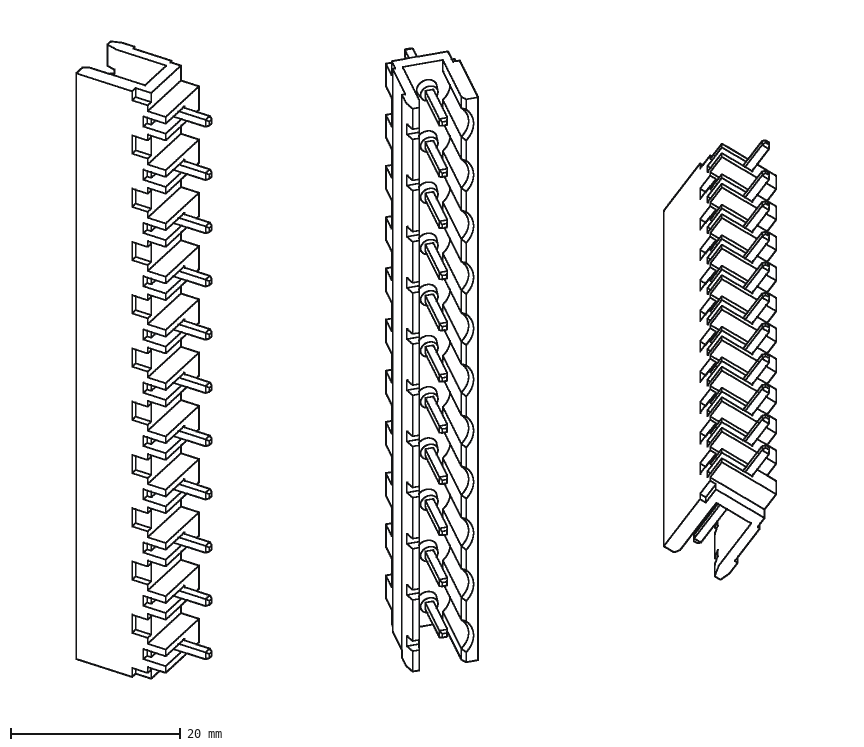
import cadquery as cq


LENGTH = 82.5
PIN_COUNT = 11
PITCH = LENGTH / PIN_COUNT
FLOOR_FACE_X = 8.3
BODY_BACK_X = 9.8
FOOT_BACK_X = 12.3

FRONT_WALL_Y = 1.9
FRONT_CHAMFER_X = 0.7
FRONT_CHAMFER_Y = 0.4

REAR_INNER_Y = 6.85
REAR_BASE_Y = 7.75
REAR_OUTER_Y = 8.1
LIP_TOP_Y = 8.5
LIP_NOSE_Y = 8.1
LIP_START_X = 1.3
LIP_END_X = 3.05
NOSE_CHAMFER_X = 1.5
NOSE_CHAMFER_Y = 0.4
LIP_NOTCH_DEPTH = 1.15
LIP_NOTCH_HEIGHT = 1.5

PIN_Y = 3.9
PIN_WIDTH = 1.0
PIN_START_X = 1.0
PIN_END_X = 16.2
PIN_TAPER_LENGTH = 0.4
PIN_TIP_WIDTH = 0.6
COLLAR_FRONT_X = 7.3
COLLAR_FRONT_RADIUS = 1.1
COLLAR_BASE_RADIUS = 1.2
SCALLOP_RADIUS = 2.9

FOOT_HEIGHT = 3.3
SLOT_HEIGHT = 1.4
SLOT_START_X = 9.2
SLOT_END_Y = PIN_Y + PIN_WIDTH / 2
RECESS_START_X = 7.7
RECESS_HEIGHT = 2.55
RECESS_DEPTH = 0.8
SLOT_NOTCH_DEPTH = RECESS_DEPTH

PIN_HEIGHTS = [(i + 0.5) * PITCH for i in range(PIN_COUNT)]
PITCH_LINES = [i * PITCH for i in range(PIN_COUNT + 1)]


def block(x_start, x_end, y_start, y_end, z_middle, height):
    """Box between the given X and Y limits, centred on z_middle."""
    return (
        cq.Workplane("XY", origin=(0, 0, z_middle - height / 2))
        .moveTo(x_start, y_start)
        .lineTo(x_end, y_start)
        .lineTo(x_end, y_end)
        .lineTo(x_start, y_end)
        .close()
        .extrude(height)
    )


def channel():
    """Constant U-shaped section with a latching lip on the +Y wall."""
    outline = [
        (0, 0),
        (BODY_BACK_X, 0),
        (BODY_BACK_X, REAR_BASE_Y),
        (FLOOR_FACE_X, REAR_BASE_Y),
        (FLOOR_FACE_X, REAR_OUTER_Y),
        (LIP_END_X, REAR_OUTER_Y),
        (LIP_END_X, LIP_TOP_Y),
        (LIP_START_X, LIP_TOP_Y),
        (0, LIP_NOSE_Y),
        (0, REAR_INNER_Y + NOSE_CHAMFER_Y),
        (NOSE_CHAMFER_X, REAR_INNER_Y),
        (FLOOR_FACE_X, REAR_INNER_Y),
        (FLOOR_FACE_X, FRONT_WALL_Y),
        (FRONT_CHAMFER_X, FRONT_WALL_Y),
        (0, FRONT_WALL_Y - FRONT_CHAMFER_Y),
    ]
    return cq.Workplane("XY").polyline(outline).close().extrude(LENGTH)


def turned(profile, z):
    """Solid of revolution about a pin axis; the profile lists (x, radius) points."""
    return (
        cq.Workplane("XY", origin=(0, PIN_Y, z))
        .polyline(profile)
        .close()
        .revolve(360, (0, 0, 0), (1, 0, 0))
    )


def scallop(z):
    """Round clearance down to the channel floor, with a flared mouth."""
    profile = [
        (0, 0),
        (0, SCALLOP_RADIUS + FRONT_CHAMFER_Y),
        (FRONT_CHAMFER_X, SCALLOP_RADIUS),
        (FLOOR_FACE_X, SCALLOP_RADIUS),
        (FLOOR_FACE_X, 0),
    ]
    front_side = block(0, FLOOR_FACE_X, 0, PIN_Y, z, PITCH)
    return turned(profile, z).intersect(front_side)


def collar(z):
    """Conical collar around the pin where it leaves the floor."""
    profile = [
        (COLLAR_FRONT_X, 0),
        (COLLAR_FRONT_X, COLLAR_FRONT_RADIUS),
        (FLOOR_FACE_X, COLLAR_BASE_RADIUS),
        (FLOOR_FACE_X, 0),
    ]
    return turned(profile, z)


def pin_taper(x_base, x_tip, z):
    """Pyramid-shaped end of a pin."""
    return (
        cq.Workplane("YZ", origin=(x_base, PIN_Y, z))
        .rect(PIN_WIDTH, PIN_WIDTH)
        .workplane(offset=x_tip - x_base)
        .rect(PIN_TIP_WIDTH, PIN_TIP_WIDTH)
        .loft(combine=True)
    )


def pin(z):
    """Square pin with both ends tapered."""
    shank_start = PIN_START_X + PIN_TAPER_LENGTH
    shank_end = PIN_END_X - PIN_TAPER_LENGTH
    half_width = PIN_WIDTH / 2
    shank = block(shank_start, shank_end, PIN_Y - half_width, PIN_Y + half_width, z, PIN_WIDTH)
    front_end = pin_taper(shank_start, PIN_START_X, z)
    back_end = pin_taper(shank_end, PIN_END_X, z)
    return shank.union(front_end).union(back_end)


housing = channel()

for z in PITCH_LINES:
    housing = housing.cut(block(RECESS_START_X, BODY_BACK_X, 0, RECESS_DEPTH, z, RECESS_HEIGHT))

for z in PIN_HEIGHTS:
    foot = block(BODY_BACK_X, FOOT_BACK_X, 0, REAR_BASE_Y, z, FOOT_HEIGHT)
    foot_slot = block(BODY_BACK_X, FOOT_BACK_X, 0, SLOT_END_Y, z, SLOT_HEIGHT)
    body_notch = block(SLOT_START_X, BODY_BACK_X, 0, SLOT_NOTCH_DEPTH, z, SLOT_HEIGHT)
    lip_notch = block(0, LIP_NOTCH_DEPTH, REAR_INNER_Y, LIP_TOP_Y, z, LIP_NOTCH_HEIGHT)
    housing = housing.union(foot.cut(foot_slot))
    housing = housing.cut(body_notch).cut(lip_notch).cut(scallop(z))

result = housing
for z in PIN_HEIGHTS:
    result = result.union(collar(z)).union(pin(z))